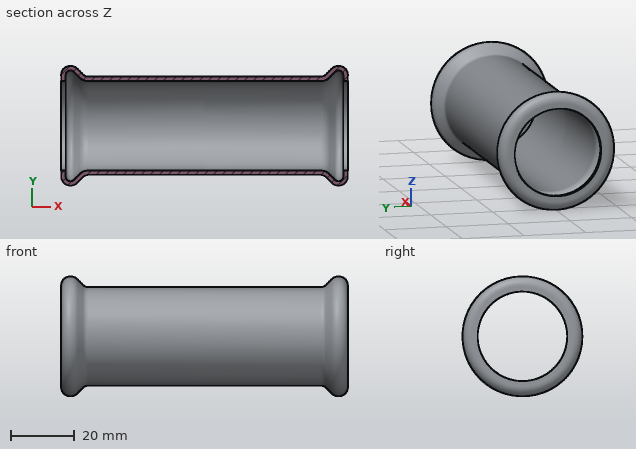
import cadquery as cq
import math

length = 90.0
tube_outer_radius = 31.0 / 2
bead_outer_radius = 37.7 / 2
wall = 1.5

bead_roll_radius = 3.0
neck_bend_radius = 2.0
flank_angle = math.radians(45)

roll_centre = (bead_roll_radius, bead_outer_radius - bead_roll_radius)
neck_centre_radius = tube_outer_radius + neck_bend_radius
bend_sum = bead_roll_radius + neck_bend_radius
neck_offset = (
    bend_sum - (neck_centre_radius - roll_centre[1]) * math.cos(flank_angle)
) / math.sin(flank_angle)
neck_centre = (roll_centre[0] + neck_offset, neck_centre_radius)
bore_radius = tube_outer_radius - wall


def bend_point(centre, radius, angle):
    """Point on a bend, with the angle measured from radially outward toward mid-length."""
    return (centre[0] + radius * math.sin(angle), centre[1] + radius * math.cos(angle))


def make_half():
    """Half of the sleeve: wall section from the -X end to mid-length, turned about X."""
    roll_inner = bead_roll_radius - wall
    neck_inner = neck_bend_radius + wall
    quarter = math.pi / 2
    roll_mid = (flank_angle - quarter) / 2
    neck_start = flank_angle + math.pi
    neck_mid = flank_angle / 2 + math.pi

    section = (
        cq.Workplane("XY", origin=(-length / 2, 0, 0))
        .moveTo(0, bore_radius)
        .lineTo(0, roll_centre[1])
        .threePointArc(
            bend_point(roll_centre, bead_roll_radius, roll_mid),
            bend_point(roll_centre, bead_roll_radius, flank_angle),
        )
        .lineTo(*bend_point(neck_centre, neck_bend_radius, neck_start))
        .threePointArc(
            bend_point(neck_centre, neck_bend_radius, neck_mid),
            (neck_centre[0], tube_outer_radius),
        )
        .lineTo(length / 2, tube_outer_radius)
        .lineTo(length / 2, bore_radius)
        .lineTo(neck_centre[0], bore_radius)
        .threePointArc(
            bend_point(neck_centre, neck_inner, neck_mid),
            bend_point(neck_centre, neck_inner, neck_start),
        )
        .lineTo(*bend_point(roll_centre, roll_inner, flank_angle))
        .threePointArc(
            bend_point(roll_centre, roll_inner, roll_mid),
            (wall, roll_centre[1]),
        )
        .lineTo(wall, bore_radius)
        .close()
    )
    return section.revolve(360, (0, 0, 0), (1, 0, 0))


half = make_half()
result = half.union(half.mirror("YZ")).clean()